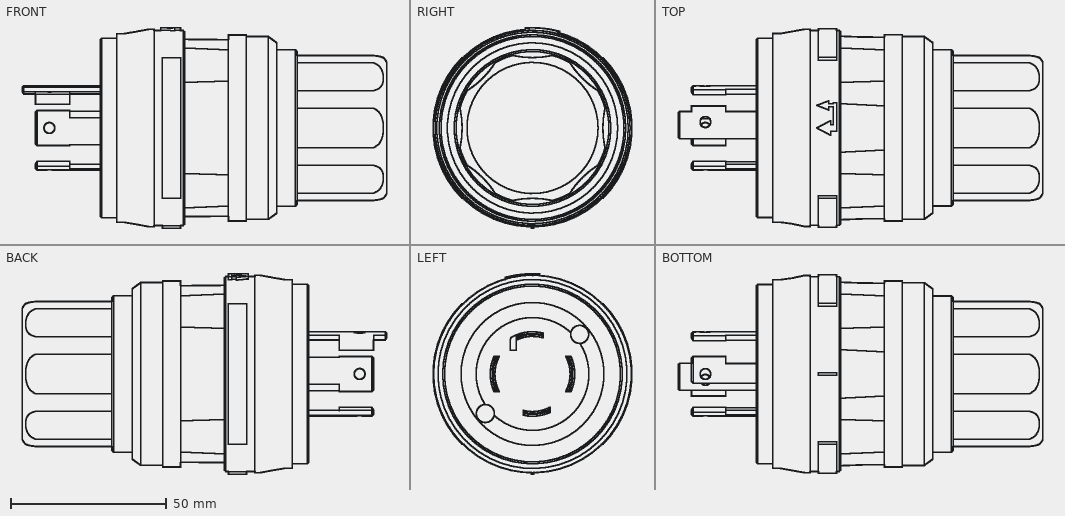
import math

import cadquery as cq


EDGE_CHAMFER = 0.6
NOSE_END = 5.3
LIP_END = 7.8
RIM_START = 15.65
RIM_RIDGE_END = 17.4
RIM_END = 27.3
GRIP_END = 41.3
COLLAR_RING_END = 47.1
COLLAR_END = 54.1
COLLAR_TAPER_END = 56.9
NECK_END = 63.4
HANDLE_TAPER_START = 88.0
HANDLE_ROUND_START = 89.5
HANDLE_END = 92.3

NOSE_RADIUS = 28.9
LIP_RADIUS = 30.4
RIM_RIDGE_RADIUS = 31.8
RIM_RADIUS = 31.4
GRIP_START_RADIUS = 29.6
GRIP_END_RADIUS = 29.3
COLLAR_RING_RADIUS = 30.0
COLLAR_RADIUS = 29.45
COLLAR_TAPER_RADIUS = 27.4
NECK_RADIUS = 25.2
HANDLE_RADIUS = 24.2
HANDLE_ROUND_RADIUS = 23.75
HANDLE_TIP_RADIUS = 21.1
HANDLE_ROUND_SAG = 0.35

FLUTE_PITCH = 45.0
FLUTE_HALF_ANGLE = 15.3
FLUTE_SAG = 0.7
GRIP_FLUTE_ANGLES = [0, 45, 135, 180, 225, 315]
HANDLE_FLUTE_ANGLES = [FLUTE_PITCH * i for i in range(8)]

PAD_START = 20.07
PAD_END = 25.9
PAD_RADIUS = 32.02
PAD_HALF_HEIGHT = 22.6
MARK_RADIUS = 32.26
MARK_ROOT = 30.0
BAR_WIDTH = 0.8

ARROW_TIP = 19.5
LARGE_ARROW_BASE = 24.1
LARGE_ARROW_HALF_WIDTH = 2.4
LARGE_STEM_HALF_WIDTH = 1.1
SMALL_ARROW_BASE = 23.45
SMALL_ARROW_HALF_WIDTH = 1.5
SMALL_STEM_HALF_WIDTH = 0.5
SMALL_ARROW_Y = 7.26
ARROW_LINK_START = 24.8
ARROW_LINK_END_Y = 8.1

GROOVE_INNER_RADIUS = 18.15
GROOVE_OUTER_RADIUS = 23.0
GROOVE_DEPTH = 0.5
POCKET_DIAMETER = 5.79
POCKET_DEPTH = 1.0
POCKET_CIRCLE_RADIUS = 19.8
POCKET_ANGLE = 40.0

BLADE_OUTER_RADIUS = 13.6
BLADE_THICKNESS = 1.5
BLADE_INNER_RADIUS = BLADE_OUTER_RADIUS - BLADE_THICKNESS
BLADE_ROOT = 1.5
BLADE_LENGTH = 20.8
GROUND_LENGTH = 25.1
WIDE_START = 9.7
BLADE_HOLE_DIAMETER = 3.4
BLADE_HOLE_X = -16.3
TIP_CHAMFER = 0.6
LIVE_SHANK_TAIL = -5.4
LIVE_WIDE_TAIL = -5.7
LIVE_SHANK_HEAD = 3.3
LIVE_WIDE_HEAD = 5.7
NEUTRAL_TAIL = -3.0
GROUND_TAIL = -3.5
GROUND_HEAD = 5.3
GROUND_HOLE_OFFSET = 1.9
HOOK_INNER = 5.2
HOOK_OUTER = 7.1
HOOK_BOTTOM = 7.6
HOOK_CORNER_RADIUS = 1.0


def cylinder_x(radius, start, end):
    return cq.Workplane("YZ", origin=(start, 0, 0)).circle(radius).extrude(end - start)


def block(x_range, y_range, z_range):
    sizes = [high - low for low, high in (x_range, y_range, z_range)]
    corner = (x_range[0], y_range[0], z_range[0])
    return cq.Workplane("XY", origin=corner).box(*sizes, centered=False)


def turn(solid, angle):
    return solid.rotate((0, 0, 0), (1, 0, 0), angle)


def make_body():
    round_length = HANDLE_END - HANDLE_ROUND_START
    round_drop = HANDLE_ROUND_RADIUS - HANDLE_TIP_RADIUS
    round_chord = math.hypot(round_length, round_drop)
    round_middle = (
        HANDLE_ROUND_START + round_length / 2 + HANDLE_ROUND_SAG * round_drop / round_chord,
        HANDLE_ROUND_RADIUS - round_drop / 2 + HANDLE_ROUND_SAG * round_length / round_chord,
    )
    profile = (
        cq.Workplane("XY")
        .lineTo(0, NOSE_RADIUS - EDGE_CHAMFER)
        .lineTo(EDGE_CHAMFER, NOSE_RADIUS)
        .lineTo(NOSE_END, NOSE_RADIUS)
        .lineTo(NOSE_END, LIP_RADIUS)
        .lineTo(LIP_END, LIP_RADIUS)
        .lineTo(RIM_START, RIM_RIDGE_RADIUS)
        .lineTo(RIM_RIDGE_END, RIM_RIDGE_RADIUS)
        .lineTo(RIM_RIDGE_END, RIM_RADIUS)
        .lineTo(RIM_END - EDGE_CHAMFER, RIM_RADIUS)
        .lineTo(RIM_END, RIM_RADIUS - EDGE_CHAMFER)
        .lineTo(RIM_END, GRIP_START_RADIUS)
        .lineTo(GRIP_END, GRIP_END_RADIUS)
        .lineTo(GRIP_END, COLLAR_RING_RADIUS)
        .lineTo(COLLAR_RING_END, COLLAR_RING_RADIUS)
        .lineTo(COLLAR_RING_END, COLLAR_RADIUS)
        .lineTo(COLLAR_END, COLLAR_RADIUS)
        .lineTo(COLLAR_TAPER_END, COLLAR_TAPER_RADIUS)
        .lineTo(COLLAR_TAPER_END, NECK_RADIUS)
        .lineTo(NECK_END - EDGE_CHAMFER, NECK_RADIUS)
        .lineTo(NECK_END, NECK_RADIUS - EDGE_CHAMFER)
        .lineTo(NECK_END, HANDLE_RADIUS)
        .lineTo(HANDLE_TAPER_START, HANDLE_RADIUS)
        .lineTo(HANDLE_ROUND_START, HANDLE_ROUND_RADIUS)
        .threePointArc(round_middle, (HANDLE_END, HANDLE_TIP_RADIUS))
        .lineTo(HANDLE_END, 0)
        .close()
    )
    return profile.revolve(360, (0, 0, 0), (1, 0, 0))


def flute_cutter(radius, start, end, angle):
    """Cylinder that leaves a shallow concave flute between two lands."""
    half_angle = math.radians(FLUTE_HALF_ANGLE)
    half_chord = radius * math.sin(half_angle)
    flute_radius = (half_chord**2 + FLUTE_SAG**2) / (2 * FLUTE_SAG)
    center = radius * math.cos(half_angle) - FLUTE_SAG + flute_radius
    cutter = cylinder_x(flute_radius, start, end).translate((0, 0, center))
    return turn(cutter, angle)


def cut_flutes(body):
    for angle in GRIP_FLUTE_ANGLES:
        body = body.cut(flute_cutter(GRIP_START_RADIUS, RIM_END, GRIP_END, angle))
    for angle in HANDLE_FLUTE_ANGLES:
        body = body.cut(flute_cutter(HANDLE_RADIUS, NECK_END, HANDLE_END, angle))
    return body


def cut_face_details(body):
    groove = cylinder_x(GROOVE_OUTER_RADIUS, 0, GROOVE_DEPTH)
    groove = groove.cut(cylinder_x(GROOVE_INNER_RADIUS, 0, GROOVE_DEPTH))
    body = body.cut(groove)
    pocket_y = -POCKET_CIRCLE_RADIUS * math.cos(math.radians(POCKET_ANGLE))
    pocket_z = POCKET_CIRCLE_RADIUS * math.sin(math.radians(POCKET_ANGLE))
    for side in (1, -1):
        pocket = cylinder_x(POCKET_DIAMETER / 2, 0, POCKET_DEPTH)
        body = body.cut(pocket.translate((0, side * pocket_y, side * pocket_z)))
    return body


def make_side_pads():
    band = cylinder_x(PAD_RADIUS, PAD_START, PAD_END)
    slab = block(
        (PAD_START, PAD_END),
        (-PAD_RADIUS, PAD_RADIUS),
        (-PAD_HALF_HEIGHT, PAD_HALF_HEIGHT),
    )
    return band.intersect(slab)


def make_arrow_mark():
    outline = [
        (ARROW_TIP, 0),
        (LARGE_ARROW_BASE, -LARGE_ARROW_HALF_WIDTH),
        (LARGE_ARROW_BASE, -LARGE_STEM_HALF_WIDTH),
        (PAD_END, -LARGE_STEM_HALF_WIDTH),
        (PAD_END, ARROW_LINK_END_Y),
        (ARROW_LINK_START, ARROW_LINK_END_Y),
        (ARROW_LINK_START, SMALL_ARROW_Y + SMALL_STEM_HALF_WIDTH),
        (SMALL_ARROW_BASE, SMALL_ARROW_Y + SMALL_STEM_HALF_WIDTH),
        (SMALL_ARROW_BASE, SMALL_ARROW_Y + SMALL_ARROW_HALF_WIDTH),
        (ARROW_TIP, SMALL_ARROW_Y),
        (SMALL_ARROW_BASE, SMALL_ARROW_Y - SMALL_ARROW_HALF_WIDTH),
        (SMALL_ARROW_BASE, SMALL_ARROW_Y - SMALL_STEM_HALF_WIDTH),
        (ARROW_LINK_START, SMALL_ARROW_Y - SMALL_STEM_HALF_WIDTH),
        (ARROW_LINK_START, LARGE_STEM_HALF_WIDTH),
        (LARGE_ARROW_BASE, LARGE_STEM_HALF_WIDTH),
        (LARGE_ARROW_BASE, LARGE_ARROW_HALF_WIDTH),
    ]
    prism = cq.Workplane("XY", origin=(0, 0, MARK_ROOT)).polyline(outline).close()
    prism = prism.extrude(MARK_RADIUS - MARK_ROOT)
    return prism.intersect(cylinder_x(MARK_RADIUS, ARROW_TIP, PAD_END))


def make_index_bar():
    bar = block(
        (PAD_START, PAD_END),
        (-BAR_WIDTH / 2, BAR_WIDTH / 2),
        (-MARK_RADIUS, -MARK_ROOT),
    )
    return bar.intersect(cylinder_x(MARK_RADIUS, PAD_START, PAD_END))


def blade_strip(start, end, tail, head):
    """Curved strip on the +Z side spanning Y from tail to head."""
    ring = cylinder_x(BLADE_OUTER_RADIUS, start, end)
    ring = ring.cut(cylinder_x(BLADE_INNER_RADIUS, start, end))
    return ring.intersect(block((start, end), (tail, head), (0, BLADE_OUTER_RADIUS)))


def chamfer_tip(blade):
    return blade.faces("<X").chamfer(TIP_CHAMFER)


def drill_blade(blade, offset):
    drill = cq.Workplane("XY", origin=(BLADE_HOLE_X, offset, 0))
    drill = drill.circle(BLADE_HOLE_DIAMETER / 2).extrude(BLADE_OUTER_RADIUS)
    return blade.cut(drill)


def make_live_blade(shank_tail, wide_tail):
    """Blade with a leading end wider than its shank, for twist locking."""
    shank = blade_strip(-WIDE_START, BLADE_ROOT, shank_tail, LIVE_SHANK_HEAD)
    wide = blade_strip(-BLADE_LENGTH, -WIDE_START, wide_tail, LIVE_WIDE_HEAD)
    return drill_blade(shank.union(chamfer_tip(wide)), 0)


def make_ground_blade():
    """Longest blade, with a hook bent inward along one edge."""
    strip = blade_strip(-GROUND_LENGTH, BLADE_ROOT, GROUND_TAIL, GROUND_HEAD)
    strip = chamfer_tip(strip)
    hook_span = (-BLADE_LENGTH, -WIDE_START)
    hook = block(hook_span, (HOOK_INNER, HOOK_OUTER), (HOOK_BOTTOM, BLADE_OUTER_RADIUS))
    hook = hook.intersect(cylinder_x(BLADE_OUTER_RADIUS, *hook_span))
    outer_corner = cq.selectors.NearestToPointSelector(
        (
            sum(hook_span) / 2,
            HOOK_OUTER,
            math.sqrt(BLADE_OUTER_RADIUS**2 - HOOK_OUTER**2),
        )
    )
    hook = hook.edges(outer_corner).fillet(HOOK_CORNER_RADIUS)
    return drill_blade(strip.union(hook), GROUND_HOLE_OFFSET)


result = cut_face_details(cut_flutes(make_body()))
result = result.union(make_side_pads())
result = result.union(make_arrow_mark())
result = result.union(make_index_bar())
result = result.union(make_ground_blade())
result = result.union(turn(make_live_blade(LIVE_SHANK_TAIL, LIVE_WIDE_TAIL), 90))
result = result.union(turn(make_live_blade(NEUTRAL_TAIL, NEUTRAL_TAIL), 180))
result = result.union(turn(make_live_blade(LIVE_SHANK_TAIL, LIVE_WIDE_TAIL), 270))